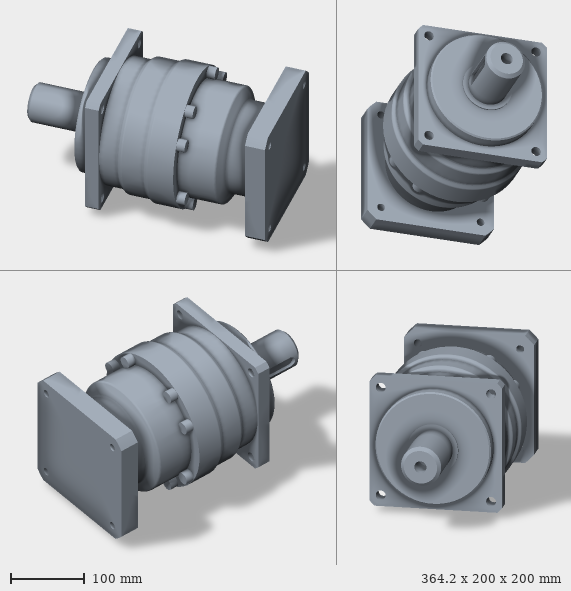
import cadquery as cq
import math

overall_length = 364.2

shaft_radius = 27.7
shaft_chamfer = 4.7
shaft_shoulder_x = 84.5
center_hole_radius = 8.5
center_hole_depth = 36.0
drill_tip_angle = 118.0

keyway_start_x = 10.0
keyway_length = 70.0
keyway_width = 16.0
keyway_depth = 6.0

collar_radius = 35.0
pilot_start_x = 86.7
pilot_radius = 79.8
pilot_chamfer = 2.0

front_plate_start_x = 106.7
front_plate_thickness = 19.5
front_plate_side = 183.0
front_plate_corner_radius = 124.5
front_hole_pitch = 152.3
front_hole_diameter = 13.5

barrel_radius = 90.0
barrel_end_x = 152.0
ring_start_x = 159.5
ring_radius = 95.8
ring_end_x = 191.0
flange_start_x = 198.0
flange_radius = 200.0 / 2
flange_end_x = 236.0
barrel_fillet = 4.0

neck_radius = 165.0 / 2
neck_end_x = 290.0
adapter_radius = 130.0 / 2
neck_cone_angle = 60.0
neck_fillet = 3.5

motor_plate_thickness = 28.8
motor_plate_side = 180.0
motor_plate_corner_radius = 118.7
motor_hole_pitch = 141.5
motor_hole_diameter = 11.0

bolt_circle_radius = 90.7
bolt_head_radius = 8.7
bolt_head_height = 12.0
bolt_angles = [quadrant + offset for quadrant in (0, 90, 180, 270) for offset in (30, 60)]

neck_slope = math.tan(math.radians(neck_cone_angle))
adapter_start_x = neck_end_x + (neck_radius - adapter_radius) / neck_slope
motor_plate_start_x = overall_length - motor_plate_thickness


def cross_plane(x):
    """Workplane across the axis at x, with its local axes along Y and Z."""
    return cq.Workplane("YZ", origin=(x, 0, 0))


def turned_shaft():
    """Chamfered shaft, seal collar and pilot, ending inside the front plate."""
    profile = [
        (0, 0),
        (0, shaft_radius - shaft_chamfer),
        (shaft_chamfer, shaft_radius),
        (shaft_shoulder_x, shaft_radius),
        (shaft_shoulder_x, collar_radius),
        (pilot_start_x, collar_radius),
        (pilot_start_x, pilot_radius - pilot_chamfer),
        (pilot_start_x + pilot_chamfer, pilot_radius),
        (front_plate_start_x, pilot_radius),
        (front_plate_start_x, 0),
    ]
    return cq.Workplane("XY").polyline(profile).close().revolve(360, (0, 0, 0), (1, 0, 0))


def turned_barrel():
    """Stepped barrel, flange and tapered neck, with rounded cone edges."""
    profile = [
        (front_plate_start_x, 0),
        (front_plate_start_x, barrel_radius),
        (barrel_end_x, barrel_radius),
        (ring_start_x, ring_radius),
        (ring_end_x, ring_radius),
        (flange_start_x, flange_radius),
        (flange_end_x, flange_radius),
        (flange_end_x, neck_radius),
        (neck_end_x, neck_radius),
        (adapter_start_x, adapter_radius),
        (motor_plate_start_x, adapter_radius),
        (motor_plate_start_x, 0),
    ]
    barrel = cq.Workplane("XY").polyline(profile).close().revolve(360, (0, 0, 0), (1, 0, 0))
    edge_fillets = [
        (barrel_end_x, barrel_fillet),
        (ring_start_x, barrel_fillet),
        (ring_end_x, barrel_fillet),
        (flange_start_x, barrel_fillet),
        (neck_end_x, neck_fillet),
        (adapter_start_x, neck_fillet),
    ]
    for edge_x, fillet_radius in edge_fillets:
        barrel = barrel.edges(cq.NearestToPointSelector((edge_x, 0, 0))).fillet(fillet_radius)
    return barrel


def square_plate(start_x, thickness, side, corner_radius, hole_pitch, hole_diameter):
    """Square plate with corners trimmed by a coaxial cylinder and four corner holes."""
    plate = cross_plane(start_x).rect(side, side).extrude(thickness)
    trim = cross_plane(start_x).circle(corner_radius).extrude(thickness)
    holes = (
        cross_plane(start_x)
        .rect(hole_pitch, hole_pitch, forConstruction=True)
        .vertices()
        .circle(hole_diameter / 2)
        .extrude(thickness)
    )
    return plate.intersect(trim).cut(holes)


def center_hole():
    """Blind hole in the shaft end with a conical drill tip."""
    tip_length = center_hole_radius / math.tan(math.radians(drill_tip_angle / 2))
    profile = [
        (0, 0),
        (0, center_hole_radius),
        (center_hole_depth, center_hole_radius),
        (center_hole_depth + tip_length, 0),
    ]
    return cq.Workplane("XY").polyline(profile).close().revolve(360, (0, 0, 0), (1, 0, 0))


def keyway():
    """Round-ended slot cut into the +Y side of the shaft."""
    floor_y = shaft_radius - keyway_depth
    return (
        cq.Workplane("XZ", origin=(keyway_start_x + keyway_length / 2, floor_y, 0))
        .slot2D(keyway_length, keyway_width)
        .extrude(-2 * keyway_depth)
    )


def bolt(angle):
    """Plain cylindrical bolt head standing on the rear face of the flange."""
    y = bolt_circle_radius * math.cos(math.radians(angle))
    z = bolt_circle_radius * math.sin(math.radians(angle))
    return cross_plane(flange_end_x).center(y, z).circle(bolt_head_radius).extrude(bolt_head_height)


def gearbox(bolts):
    """Shaft, barrel and both plates as one body, with recesses for the bolts."""
    front_plate = square_plate(
        front_plate_start_x, front_plate_thickness, front_plate_side,
        front_plate_corner_radius, front_hole_pitch, front_hole_diameter,
    )
    motor_plate = square_plate(
        motor_plate_start_x, motor_plate_thickness, motor_plate_side,
        motor_plate_corner_radius, motor_hole_pitch, motor_hole_diameter,
    )
    body = turned_barrel().union(turned_shaft()).union(front_plate).union(motor_plate)
    body = body.cut(center_hole()).cut(keyway())
    for bolt_body in bolts:
        body = body.cut(bolt_body)
    return body


bolts = [bolt(angle) for angle in bolt_angles]
housing = gearbox(bolts)
result = cq.Compound.makeCompound([housing.val(), *[bolt_body.val() for bolt_body in bolts]])